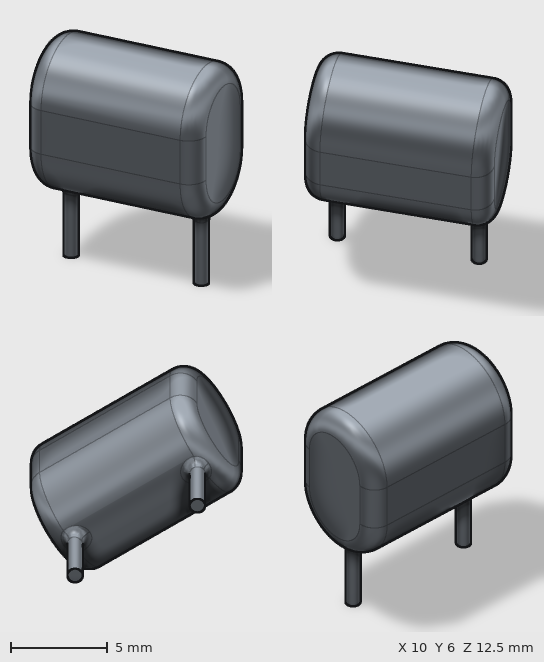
import cadquery as cq

body_length = 10.0
body_width = 6.0
body_height = 8.5
end_radius = 1.0

lead_diameter = 0.8
lead_pitch = 7.5
lead_length = 4.0
lead_root_radius = 0.5

body_bottom = lead_length
body_middle = body_bottom + body_height / 2


def make_body():
    """Capsule-section body with rounded ends, standing a lead length above Z = 0."""
    return (
        cq.Workplane("YZ")
        .center(0, body_middle)
        .slot2D(body_height, body_width, 90)
        .extrude(body_length / 2, both=True)
        .faces("<X or >X")
        .edges()
        .fillet(end_radius)
    )


def make_leads():
    """Two round leads from Z = 0 up to the middle of the body."""
    return (
        cq.Workplane("XY")
        .pushPoints([(-lead_pitch / 2, 0), (lead_pitch / 2, 0)])
        .circle(lead_diameter / 2)
        .extrude(body_middle)
    )


def lead_root_box():
    """Selection box around the edges where the leads meet the underside of the body."""
    reach_x = (lead_pitch + lead_diameter) / 2
    reach_y = lead_diameter / 2
    reach_z = lead_diameter / 2
    return cq.selectors.BoxSelector(
        (-reach_x, -reach_y, body_bottom - reach_z),
        (reach_x, reach_y, body_bottom + reach_z),
    )


capacitor = make_body().union(make_leads())
result = capacitor.edges(lead_root_box()).fillet(lead_root_radius)